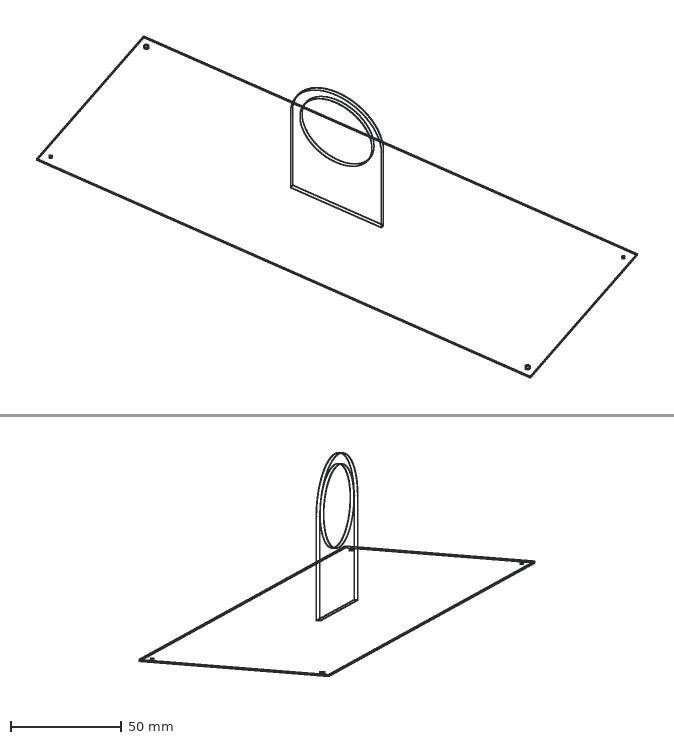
import cadquery as cq

plate_length = 263.47
plate_width = 92.0
plate_thickness = 0.8

hole_inset_x = 4.35
hole_inset_y = 4.75
large_hole_diameter = 2.2
small_hole_diameter = 1.3

ring_bore_diameter = 38.47
ring_wall = 5.0
holder_thickness = 1.8
holder_width = ring_bore_diameter + 2 * ring_wall
holder_radius = holder_width / 2
holder_rise = 48.475
bore_height = plate_thickness + holder_rise


def base_plate():
    """Thin rectangular plate resting on Z = 0."""
    plate = cq.Workplane("XY").box(
        plate_length, plate_width, plate_thickness, centered=(True, True, False)
    )
    hole_x = plate_length / 2 - hole_inset_x
    hole_y = plate_width / 2 - hole_inset_y
    large_hole_places = [(-hole_x, hole_y), (hole_x, -hole_y)]
    small_hole_places = [(-hole_x, -hole_y), (hole_x, hole_y)]
    plate = plate.faces(">Z").workplane().pushPoints(large_hole_places).hole(large_hole_diameter)
    plate = plate.faces(">Z").workplane().pushPoints(small_hole_places).hole(small_hole_diameter)
    return plate


def ring_holder():
    """Round-topped upright, centred on the plate, with a bore along Y."""
    return (
        cq.Workplane("XZ")
        .moveTo(-holder_radius, 0)
        .lineTo(holder_radius, 0)
        .lineTo(holder_radius, bore_height)
        .threePointArc((0, bore_height + holder_radius), (-holder_radius, bore_height))
        .close()
        .moveTo(0, bore_height)
        .circle(ring_bore_diameter / 2)
        .extrude(holder_thickness / 2, both=True)
    )


result = base_plate().union(ring_holder())